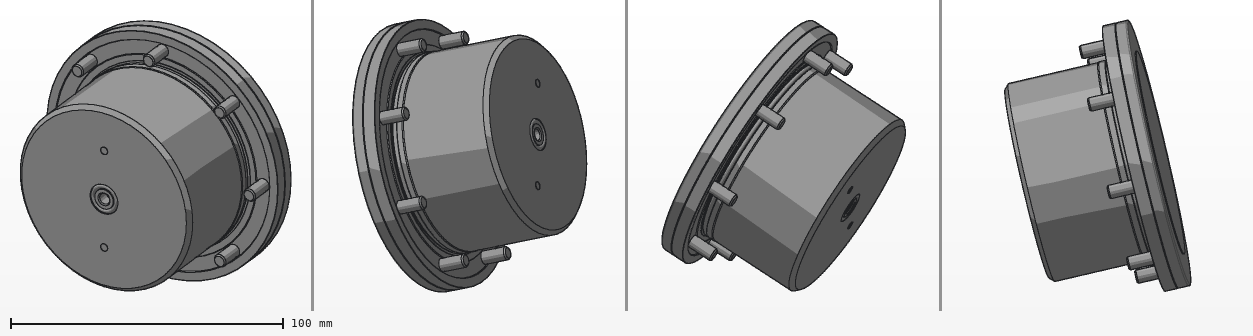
import cadquery as cq
import math


flange_radius = 50.0
front_plate_thickness = 5.0
rear_plate_thickness = 4.6
flange_thickness = front_plate_thickness + rear_plate_thickness
joint_bevel = 0.2
front_edge_bevel = 0.15
rear_edge_round = 0.6

pad_radius = 38.2
pad_height = 0.4

recess_inner_radius = 40.5
recess_outer_radius = 46.5
recess_depth = 0.4
recess_wall_slope = 0.25

clearance_radius = 38.0
clearance_depth = 0.3

collar_radius = 37.5
collar_end = 4.3
seal_width = 1.8
seal_groove_radius = 36.8
seal_groove_end = 2.0
collar_bevel_length = 0.5

body_radius = 37.3
body_length = 40.2
nose_bevel = 1.7

face_seal_radius = 5.0
face_seal_section_radius = 1.0
face_seal_projection = 0.3

countersink_diameter = 5.2
entry_diameter = 4.3
entry_depth = 5.0
bore_diameter = 3.3
bore_depth = 8.0
drill_point_angle = 118.0

side_hole_diameter = 3.0
side_hole_offset = 20.0
side_hole_depth = 0.2

pin_count = 8
pin_diameter = 5.0
pin_tip_diameter = 4.1
pin_tip_length = 0.6
pin_length = 9.7
pin_circle_radius = (recess_inner_radius + recess_outer_radius) / 2


def revolve_about_y(sketch):
    return sketch.close().revolve(360, (0, 0, 0), (0, 1, 0))


def make_flange():
    joint_y = front_plate_thickness
    profile = (
        cq.Workplane("XY")
        .moveTo(0, clearance_depth)
        .lineTo(clearance_radius, clearance_depth)
        .lineTo(clearance_radius, 0)
        .lineTo(recess_inner_radius, 0)
        .lineTo(recess_inner_radius + recess_wall_slope, recess_depth)
        .lineTo(recess_outer_radius - recess_wall_slope, recess_depth)
        .lineTo(recess_outer_radius, 0)
        .lineTo(flange_radius - front_edge_bevel, 0)
        .lineTo(flange_radius, front_edge_bevel)
        .lineTo(flange_radius, joint_y - joint_bevel)
        .lineTo(flange_radius - joint_bevel, joint_y)
        .lineTo(flange_radius, joint_y + joint_bevel)
        .lineTo(flange_radius, flange_thickness - rear_edge_round)
        .radiusArc((flange_radius - rear_edge_round, flange_thickness), -rear_edge_round)
        .lineTo(pad_radius, flange_thickness)
        .lineTo(pad_radius, flange_thickness + pad_height)
        .lineTo(0, flange_thickness + pad_height)
    )
    return revolve_about_y(profile)


def make_body():
    seal_section_radius = seal_width / 2
    seal_floor_y = -body_length - face_seal_projection + face_seal_section_radius
    seal_outer = face_seal_radius + face_seal_section_radius
    seal_inner = face_seal_radius - face_seal_section_radius
    profile = (
        cq.Workplane("XY")
        .moveTo(0, clearance_depth)
        .lineTo(seal_groove_radius, clearance_depth)
        .lineTo(seal_groove_radius, 0)
        .threePointArc((collar_radius, -seal_section_radius), (seal_groove_radius, -seal_width))
        .lineTo(seal_groove_radius, -seal_groove_end)
        .lineTo(collar_radius, -seal_groove_end)
        .lineTo(collar_radius, -collar_end)
        .lineTo(body_radius, -collar_end - collar_bevel_length)
        .lineTo(body_radius, -body_length + nose_bevel)
        .lineTo(body_radius - nose_bevel, -body_length)
        .lineTo(seal_outer, -body_length)
        .lineTo(seal_outer, seal_floor_y)
        .threePointArc((face_seal_radius, -body_length - face_seal_projection), (seal_inner, seal_floor_y))
        .lineTo(seal_inner, -body_length)
        .lineTo(0, -body_length)
    )
    return revolve_about_y(profile)


def make_bore():
    bore_radius = bore_diameter / 2
    entry_radius = entry_diameter / 2
    countersink_radius = countersink_diameter / 2
    countersink_depth = countersink_radius - entry_radius
    entry_end_y = -body_length + entry_depth
    bore_end_y = -body_length + bore_depth
    point_height = bore_radius / math.tan(math.radians(drill_point_angle / 2))
    profile = (
        cq.Workplane("XY")
        .moveTo(0, -body_length)
        .lineTo(countersink_radius, -body_length)
        .lineTo(entry_radius, -body_length + countersink_depth)
        .lineTo(entry_radius, entry_end_y)
        .lineTo(bore_radius, entry_end_y)
        .lineTo(bore_radius, bore_end_y)
        .lineTo(0, bore_end_y + point_height)
    )
    return revolve_about_y(profile)


def make_side_holes():
    return (
        cq.Workplane("XZ", origin=(0, -body_length, 0))
        .pushPoints([(0, side_hole_offset), (0, -side_hole_offset)])
        .circle(side_hole_diameter / 2)
        .extrude(-side_hole_depth)
    )


def make_pins():
    tip_inset = (pin_diameter - pin_tip_diameter) / 2
    return (
        cq.Workplane("XZ", origin=(0, recess_depth, 0))
        .polarArray(pin_circle_radius, 0, 360, pin_count)
        .circle(pin_diameter / 2)
        .extrude(pin_length + recess_depth)
        .faces("<Y")
        .edges()
        .chamfer(pin_tip_length, tip_inset)
    )


result = make_flange().union(make_body()).union(make_pins()).cut(make_bore()).cut(make_side_holes())